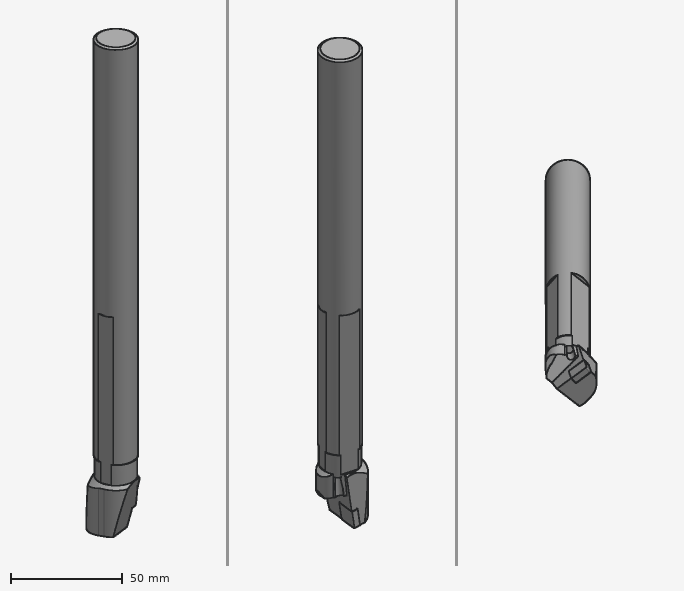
import cadquery as cq
import math

LENGTH = 251.2
SHANK_RADIUS = 10.0
SIDE_FLAT = 8.5
CROSS_FLAT = 9.3
CHAMFER_HEIGHT = 0.8
CHAMFER_WIDTH = 1.3

NECK_RADIUS = 19.3 / 2
NECK_TOP = 38.7
HEAD_TOP = 28.1
CONE_DROP = 10.0

HEAD_FRONT = 11.3
HEAD_ARC_RADIUS = 10.5
STRIP_WIDTH = 2.8
CORE_TOP_Y = 5.0

BOSS_RADIUS = 6.0
BOSS_BACK = 11.8
BOSS_X = -0.5
BOSS_CORNER_SIZE = (3.5, 6.0)

TIP_X = -13.0
RAKE_X = 0.17
RAKE_Z = 0.08
RAKE_NORMAL = (-RAKE_X, 1, -RAKE_Z)
RELIEF = 0.09
END_SLOPE = 0.08
INSERT_PROUD = 0.38

BACK_X = 4.3
BACK_BOTTOM = 2.3
BACK_TOP_X = 9.5
BACK_TOP = 27.0

GUTTER_LOW = (6.3, 11.0)
GUTTER_HIGH = (-8.8, 16.3)

COOLANT_DIAMETER = 3.8
COOLANT_START = (-6.5, 4.8, 26.5)
COOLANT_EXIT = (-8.0, 4.8, 15.0)

INSERT_EDGE = 9.0
INSERT_ANGLE = 80
INSERT_THICKNESS = 3.3
NOSE_RADIUS = 0.5

CUTTER_SIZE = 150.8


def half_space(point, normal):
    """Block that stands for all material on the normal's side of a plane."""
    plane = cq.Plane(origin=point, normal=normal)
    return cq.Workplane(plane).rect(CUTTER_SIZE, CUTTER_SIZE).extrude(CUTTER_SIZE)


def flatted_bar(radius, bottom, top):
    """Round bar with flats on -X, -Y and +Y."""
    bar = cq.Workplane("XY", origin=(0, 0, bottom)).circle(radius).extrude(top - bottom)
    bar = bar.cut(half_space((-SIDE_FLAT, 0, bottom), (-1, 0, 0)))
    for side in (-1, 1):
        bar = bar.cut(half_space((0, side * CROSS_FLAT, bottom), (0, side, 0)))
    return bar


def make_shank():
    chamfered_top = (
        cq.Workplane("XZ")
        .moveTo(0, NECK_TOP)
        .lineTo(SHANK_RADIUS, NECK_TOP)
        .lineTo(SHANK_RADIUS, LENGTH - CHAMFER_HEIGHT)
        .lineTo(SHANK_RADIUS - CHAMFER_WIDTH, LENGTH)
        .lineTo(0, LENGTH)
        .close()
        .revolve(360, (0, 0, 0), (0, 1, 0))
    )
    shank = flatted_bar(SHANK_RADIUS, NECK_TOP, LENGTH).intersect(chamfered_top)
    return shank.union(flatted_bar(NECK_RADIUS, HEAD_TOP, NECK_TOP))


def lower_head():
    """Prism on the -Y side that carries the insert."""
    arc_y = HEAD_ARC_RADIUS - HEAD_FRONT
    diagonal = math.sqrt(0.5)
    left = -STRIP_WIDTH - HEAD_ARC_RADIUS
    return (
        cq.Workplane("XY")
        .moveTo(left, CORE_TOP_Y)
        .lineTo(left, arc_y)
        .threePointArc(
            (-STRIP_WIDTH - HEAD_ARC_RADIUS * diagonal, arc_y - HEAD_ARC_RADIUS * diagonal),
            (-STRIP_WIDTH, -HEAD_FRONT),
        )
        .lineTo(0, -HEAD_FRONT)
        .threePointArc((HEAD_FRONT * diagonal, -HEAD_FRONT * diagonal), (HEAD_FRONT, 0))
        .lineTo(HEAD_FRONT, CORE_TOP_Y)
        .close()
        .extrude(HEAD_TOP)
    )


def boss():
    """Rounded rib on the +Y side, bevelled below."""
    shoulder = GUTTER_LOW[1]
    bevel_depth, bevel_height = BOSS_CORNER_SIZE
    rib = (
        cq.Workplane("XY")
        .center(BOSS_X, BOSS_BACK - BOSS_RADIUS)
        .circle(BOSS_RADIUS)
        .extrude(HEAD_TOP)
    )
    return rib.cut(
        half_space((0, BOSS_BACK, shoulder + bevel_height), (0, bevel_height, -bevel_depth))
    )


def head_cone():
    """Envelope that widens from the neck at 45 degrees."""
    wide = NECK_RADIUS + CONE_DROP
    return (
        cq.Workplane("XZ")
        .lineTo(wide, 0)
        .lineTo(wide, HEAD_TOP - CONE_DROP)
        .lineTo(NECK_RADIUS, HEAD_TOP)
        .lineTo(0, HEAD_TOP)
        .close()
        .revolve(360, (0, 0, 0), (0, 1, 0))
    )


def gutter():
    """Space in front of the rake face, below the sloping shoulder."""
    run = GUTTER_LOW[0] - GUTTER_HIGH[0]
    drop = GUTTER_HIGH[1] - GUTTER_LOW[1]
    below_shoulder = half_space((GUTTER_LOW[0], 0, GUTTER_LOW[1]), (-drop, 0, -run))
    return half_space((TIP_X, 0, 0), RAKE_NORMAL).intersect(below_shoulder)


def coolant_outlet():
    """Steep hole that breaks out through the -X side above the gutter."""
    direction = cq.Vector(*COOLANT_EXIT) - cq.Vector(*COOLANT_START)
    plane = cq.Plane(origin=COOLANT_START, normal=direction)
    return cq.Workplane(plane).circle(COOLANT_DIAMETER / 2).extrude(direction.Length)


def make_head():
    core = cq.Workplane("XY").circle(NECK_RADIUS).extrude(HEAD_TOP)
    wide_part = lower_head().cut(half_space((TIP_X, 0, 0), RAKE_NORMAL))
    head = core.union(wide_part).union(boss()).intersect(head_cone())
    head = head.cut(gutter()).cut(coolant_outlet())
    head = head.cut(half_space((TIP_X + INSERT_PROUD, 0, 0), (-1, -RELIEF, RELIEF)))
    head = head.cut(half_space((TIP_X, 0, INSERT_PROUD), (END_SLOPE, -END_SLOPE, -1)))
    back_run = BACK_TOP_X - BACK_X
    back_rise = BACK_TOP - BACK_BOTTOM
    return head.cut(half_space((BACK_X, 0, BACK_BOTTOM), (back_rise, 0, -back_run)))


def make_insert():
    """Rhombic plate lying under the rake face."""
    plane = cq.Plane(
        origin=(TIP_X, 0, 0),
        xDir=(RELIEF, RAKE_X * RELIEF + RAKE_Z, 1),
        normal=RAKE_NORMAL,
    ).rotated((180, 0, 0))
    angle = math.radians(-INSERT_ANGLE)
    across = (INSERT_EDGE * math.cos(angle), INSERT_EDGE * math.sin(angle))
    return (
        cq.Workplane(plane)
        .polyline([(0, 0), (INSERT_EDGE, 0), (INSERT_EDGE + across[0], across[1]), across])
        .close()
        .extrude(INSERT_THICKNESS)
        .edges(cq.selectors.NearestToPointSelector((TIP_X, -INSERT_THICKNESS / 2, 0)))
        .fillet(NOSE_RADIUS)
    )


insert = make_insert()
holder = make_shank().union(make_head()).cut(insert)

result = cq.Compound.makeCompound([*holder.solids().vals(), *insert.solids().vals()])